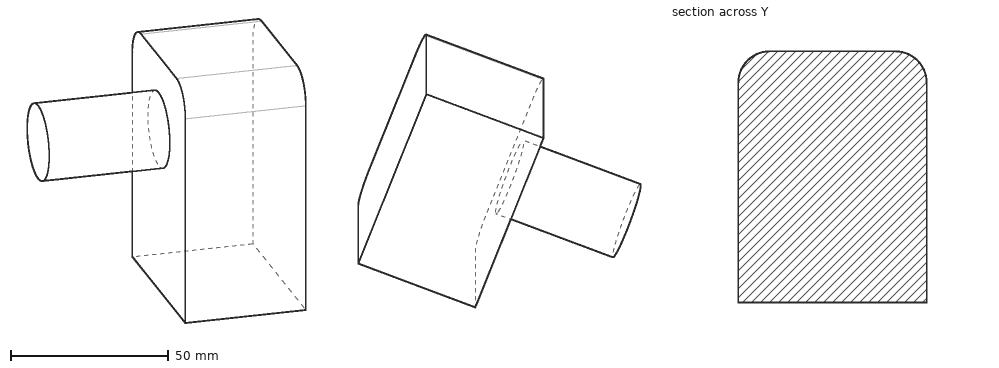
import cadquery as cq

block_width = 60.0
block_depth = 40.0
block_height = 80.0
corner_radius = 10.0

pin_diameter = 25.0
pin_length = 40.0
pin_drop = 25.0
pin_axis_height = block_height - pin_drop


def make_block():
    """Block with its front face on Y = 0 and its base on Z = 0."""
    return (
        cq.Workplane("XY")
        .box(block_width, block_depth, block_height, centered=(True, False, False))
        .edges("|Y and >Z")
        .fillet(corner_radius)
    )


def make_pin():
    """Pin running from the front face of the block toward -Y."""
    return (
        cq.Workplane("XZ")
        .center(0, pin_axis_height)
        .circle(pin_diameter / 2)
        .extrude(pin_length)
    )


result = make_block().union(make_pin())